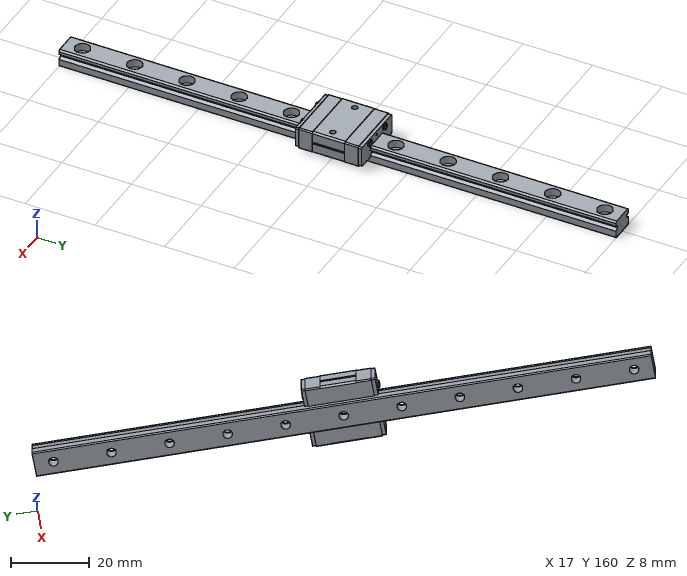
import cadquery as cq


rail_length = 160.0
rail_half_width = 3.5
rail_height = 5.1
foot_chamfer = 0.3
top_bevel = 0.5

groove_bottom = 2.2
groove_floor_bottom = 2.7
groove_floor_top = 3.4
groove_top = 3.8
groove_depth = 1.0

hole_count = 11
hole_end_margin = 5.0
hole_pitch = (rail_length - 2 * hole_end_margin) / (hole_count - 1)
hole_diameter = 2.4
counterbore_diameter = 4.2
counterbore_depth = 2.2

carriage_bottom = 1.5

block_width = 17.0
block_length = 9.3
block_top = 8.0
block_chamfer = 0.5
side_groove_height = 4.6
side_groove_width = 0.5
side_groove_depth = 0.3

end_step = 0.2
end_width = block_width - end_step
end_length = 17.1
end_top = block_top - end_step
end_chamfer = 0.3
cap_width = end_width - end_step
cap_length = 19.0
cap_top = end_top - end_step
cap_bottom = carriage_bottom + 2 * end_step

tapped_hole_spacing = 12.0
tapped_hole_diameter = 1.57
tapped_hole_depth = 2.4

screw_spacing = 8.2
screw_height = 6.5
screw_head_diameter = 2.0
screw_head_projection = 0.5
screw_head_chamfer = 0.2
screw_socket_width = 1.0
screw_socket_depth = 0.5

oil_hole_height = 6.5
oil_hole_diameter = 0.5
oil_hole_depth = 1.6


def rail_bar():
    """Plain rail without holes; it also shapes the channel through the carriage."""
    groove_floor = rail_half_width - groove_depth
    right_side = [
        (rail_half_width - foot_chamfer, 0),
        (rail_half_width, foot_chamfer),
        (rail_half_width, groove_bottom),
        (groove_floor, groove_floor_bottom),
        (groove_floor, groove_floor_top),
        (rail_half_width, groove_top),
        (rail_half_width, rail_height - top_bevel),
        (rail_half_width - top_bevel, rail_height),
    ]
    left_side = [(-x, z) for x, z in reversed(right_side)]
    return (
        cq.Workplane("XZ")
        .polyline(right_side + left_side)
        .close()
        .extrude(rail_length / 2, both=True)
    )


def make_rail():
    first_hole = -hole_pitch * (hole_count - 1) / 2
    hole_points = [(0, first_hole + i * hole_pitch) for i in range(hole_count)]
    return (
        rail_bar()
        .faces(">Z")
        .workplane(origin=(0, 0, rail_height))
        .pushPoints(hole_points)
        .cboreHole(hole_diameter, counterbore_diameter, counterbore_depth)
    )


def chamfered_bar(width, length, bottom, top, chamfer):
    """Bar centred on the Z axis, with its four edges along Y chamfered."""
    return (
        cq.Workplane("XY", origin=(0, 0, bottom))
        .box(width, length, top - bottom, centered=(True, True, False))
        .edges("|Y")
        .chamfer(chamfer)
    )


def side_groove(side):
    """Cutter for the V groove in one flank of the block; side is -1 or +1."""
    flank = side * block_width / 2
    half_width = side_groove_width / 2
    return (
        cq.Workplane("XZ")
        .polyline([
            (flank, side_groove_height - half_width),
            (flank - side * side_groove_depth, side_groove_height),
            (flank, side_groove_height + half_width),
        ])
        .close()
        .extrude(block_length / 2, both=True)
    )


def carriage_body():
    """Stepped body: the block in the middle, then the end blocks, then the caps."""
    block = chamfered_bar(block_width, block_length, carriage_bottom, block_top, block_chamfer)
    ends = chamfered_bar(end_width, end_length, carriage_bottom, end_top, end_chamfer)
    caps = chamfered_bar(cap_width, cap_length, cap_bottom, cap_top, end_chamfer)
    grooves = side_groove(-1).union(side_groove(1))
    middle = cq.Workplane("XY", origin=(0, 0, block_top / 2)).box(block_width, block_length, block_top)
    return block.cut(grooves).union(ends.cut(middle)).union(caps)


def tapped_holes():
    return (
        cq.Workplane("XY", origin=(0, 0, block_top))
        .pushPoints([(-tapped_hole_spacing / 2, 0), (tapped_hole_spacing / 2, 0)])
        .circle(tapped_hole_diameter / 2)
        .extrude(-tapped_hole_depth)
    )


def screw_head():
    """Screw head standing on the -Y cap, at X = 0, with a hexagonal socket."""
    return (
        cq.Workplane("XZ", origin=(0, -cap_length / 2, screw_height))
        .circle(screw_head_diameter / 2)
        .extrude(screw_head_projection)
        .faces("<Y")
        .chamfer(screw_head_chamfer)
    )


def screw_socket():
    """Cutter for the hexagonal socket of the -Y screw head at X = 0."""
    head_face = -(cap_length / 2 + screw_head_projection)
    return (
        cq.Workplane("XZ", origin=(0, head_face, screw_height))
        .polygon(6, screw_socket_width, circumscribed=True)
        .extrude(-screw_socket_depth)
    )


def oil_hole():
    """Cutter for the lubrication hole in the -Y cap."""
    return (
        cq.Workplane("XZ", origin=(0, -cap_length / 2, oil_hole_height))
        .circle(oil_hole_diameter / 2)
        .extrude(-oil_hole_depth)
    )


def at_both_ends(shape):
    """The shape at the -Y end together with its mirror image at the +Y end."""
    return shape.union(shape.mirror("XZ"))


def make_carriage():
    carriage = carriage_body().cut(rail_bar()).cut(tapped_holes()).cut(at_both_ends(oil_hole()))
    for side in (-1, 1):
        offset = (side * screw_spacing / 2, 0, 0)
        carriage = carriage.union(at_both_ends(screw_head().translate(offset)))
        carriage = carriage.cut(at_both_ends(screw_socket().translate(offset)))
    return carriage


rail = make_rail()
carriage = make_carriage()
result = cq.Compound.makeCompound([rail.val(), *carriage.solids().vals()])